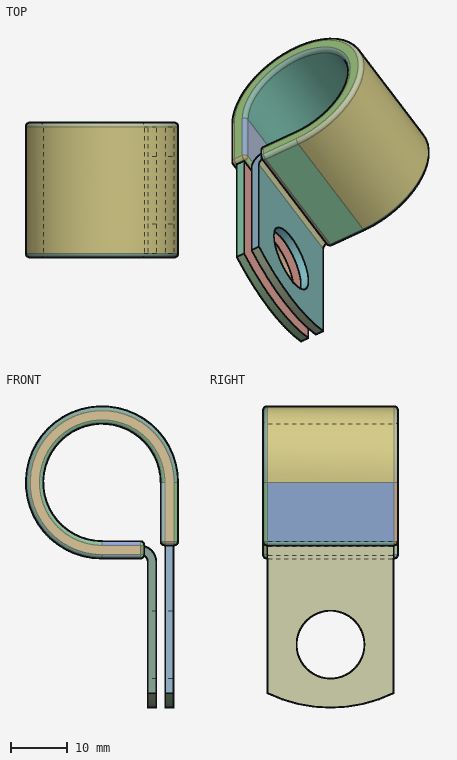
import cadquery as cq
import math


strap_thickness = 1.524
strap_width = 22.225
leg_gap = strap_thickness
bend_inner_radius = 1.4
overall_height = 53.1

cushion_thickness = 0.79375
cushion_edge_radius = 0.75
cushion_width = strap_width + 2 * cushion_thickness
loop_inner_radius = 10.314
loop_outer_radius = loop_inner_radius + strap_thickness + 2 * cushion_thickness

leg_bottom_z = loop_outer_radius - overall_height
leg_end_radius = 25.4
hole_diameter = 11.90625
hole_z = leg_bottom_z + strap_width / 2

strap_inner_radius = loop_inner_radius + cushion_thickness
strap_outer_radius = strap_inner_radius + strap_thickness
inner_leg_right_x = strap_inner_radius - leg_gap
inner_leg_left_x = inner_leg_right_x - strap_thickness

bend_outer_radius = bend_inner_radius + strap_thickness
bend_center_x = inner_leg_left_x - bend_inner_radius
bend_center_z = -strap_outer_radius - bend_inner_radius

cushion_bottom_end_x = bend_center_x + cushion_thickness
cushion_side_end_z = -loop_inner_radius - cushion_thickness


def on_circle(center_x, center_z, radius, degrees):
    """Point in the XZ plane at an angle from +X towards +Z."""
    angle = math.radians(degrees)
    return center_x + radius * math.cos(angle), center_z + radius * math.sin(angle)


def extrude_centered(profile, width):
    """Extrude an XZ profile equally to both sides of Y = 0."""
    return profile.extrude(width / 2, both=True)


def loop_profile(inner_radius, outer_radius, bottom_end_x, side_end_z):
    """Three-quarter loop with a straight run along the bottom and one down the +X side."""
    loop_middle = 135
    return (
        cq.Workplane("XZ")
        .moveTo(bottom_end_x, -outer_radius)
        .lineTo(0, -outer_radius)
        .threePointArc(on_circle(0, 0, outer_radius, loop_middle), (outer_radius, 0))
        .lineTo(outer_radius, side_end_z)
        .lineTo(inner_radius, side_end_z)
        .lineTo(inner_radius, 0)
        .threePointArc(on_circle(0, 0, inner_radius, loop_middle), (0, -inner_radius))
        .lineTo(bottom_end_x, -inner_radius)
        .close()
    )


def end_edges(body, face_center):
    """Edges along Y of the end face centred at the given point."""
    return body.faces(cq.selectors.NearestToPointSelector(face_center)).edges("|Y")


def make_cushion():
    """Cushion around the loop, rounded along its rims and around both ends."""
    profile = loop_profile(
        loop_inner_radius, loop_outer_radius, cushion_bottom_end_x, cushion_side_end_z
    )
    body = extrude_centered(profile, cushion_width)
    rims = body.faces("<Y or >Y").edges()
    wall_middle = (loop_inner_radius + loop_outer_radius) / 2
    bottom_end = end_edges(body, (cushion_bottom_end_x, 0, -wall_middle))
    side_end = end_edges(body, (wall_middle, 0, cushion_side_end_z))
    return body.newObject(rims.vals() + bottom_end.vals() + side_end.vals()).fillet(cushion_edge_radius)


def make_strap():
    """Strap loop with its side run as the outer leg, joined to the bent inner leg."""
    loop = extrude_centered(
        loop_profile(strap_inner_radius, strap_outer_radius, bend_center_x, leg_bottom_z),
        strap_width,
    )
    bend_middle = 45
    inner_leg = (
        cq.Workplane("XZ")
        .moveTo(bend_center_x, -strap_inner_radius)
        .threePointArc(
            on_circle(bend_center_x, bend_center_z, bend_outer_radius, bend_middle),
            (inner_leg_right_x, bend_center_z),
        )
        .lineTo(inner_leg_right_x, leg_bottom_z)
        .lineTo(inner_leg_left_x, leg_bottom_z)
        .lineTo(inner_leg_left_x, bend_center_z)
        .threePointArc(
            on_circle(bend_center_x, bend_center_z, bend_inner_radius, bend_middle),
            (bend_center_x, -strap_outer_radius),
        )
        .close()
    )
    return loop.union(extrude_centered(inner_leg, strap_width))


def make_leg_end_waste():
    """Material below the shallow arc that rounds the lower ends of both legs."""
    half_width = strap_width / 2
    arc_rise = leg_end_radius - math.sqrt(leg_end_radius**2 - half_width**2)
    corner_z = leg_bottom_z + arc_rise
    return (
        cq.Workplane("YZ")
        .moveTo(-half_width, corner_z)
        .threePointArc((0, leg_bottom_z), (half_width, corner_z))
        .lineTo(half_width, leg_bottom_z)
        .lineTo(-half_width, leg_bottom_z)
        .close()
        .extrude(loop_outer_radius)
    )


def make_mounting_hole():
    """Cylinder through both legs along X."""
    return (
        cq.Workplane("YZ")
        .center(0, hole_z)
        .circle(hole_diameter / 2)
        .extrude(loop_outer_radius)
    )


strap = make_strap().cut(make_leg_end_waste()).cut(make_mounting_hole())
result = make_cushion().union(strap)